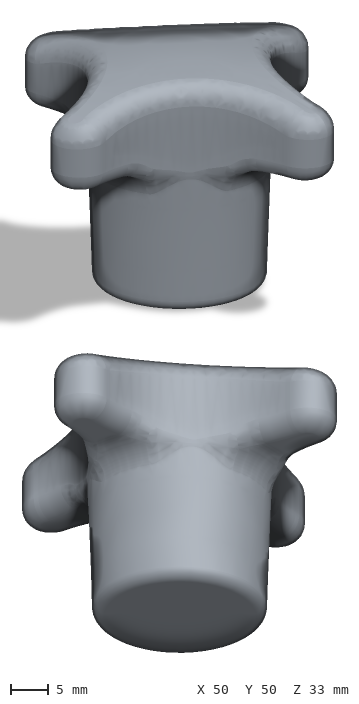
import cadquery as cq
import math

span = 50.0
height = 33.0
half_span = span / 2
arm_count = 4
quarter = math.pi / 2
tolerance = 0.0005

arm_radius = 3.85
tip_center = half_span - arm_radius
scallop_center = 20.4
scallop_radius = scallop_center - arm_radius
scallop_distance = scallop_center * math.sqrt(2)
underside_z = 20.0
dome_radius = 72.45
top_round = 3.0
bottom_round = 2.5

foot_radius = 11.5
draft = math.radians(2.0)
foot_round = 1.5

neck_round = 3.75
embed = 0.01
rise_share = 0.98
corner_steps = 4
overlap = 1.0


def shank_radius(z):
    return foot_radius + z * math.tan(draft)


neck_z = underside_z - neck_round
neck_radius = shank_radius(neck_z) + neck_round / math.cos(draft) - embed
flare_bottom = neck_z - overlap


def on_arm(x, y, arm):
    """Turn a point of the first arm about the axis onto the given arm."""
    for _ in range(arm):
        x, y = -y, x
    return x, y


def extrude_outline(bottom_z, top_z):
    scallop_mid = scallop_center - scallop_radius * math.sqrt(0.5)
    outline = cq.Workplane("XY", origin=(0, 0, bottom_z)).moveTo(tip_center, -arm_radius)
    for arm in range(arm_count):
        outline = (
            outline.threePointArc(on_arm(half_span, 0, arm), on_arm(tip_center, arm_radius, arm))
            .lineTo(*on_arm(scallop_center, arm_radius, arm))
            .threePointArc(
                on_arm(scallop_mid, scallop_mid, arm),
                on_arm(arm_radius, scallop_center, arm),
            )
        )
        if arm < arm_count - 1:
            outline = outline.lineTo(*on_arm(arm_radius, tip_center, arm))
    return outline.close().extrude(top_z - bottom_z)


def make_head():
    dome = cq.Workplane("XY", origin=(0, 0, height - dome_radius)).sphere(dome_radius)
    head = extrude_outline(underside_z, height).intersect(dome)
    return head.faces(">Z").edges().fillet(top_round)


def make_shank():
    top_z = underside_z + overlap
    shank = (
        cq.Workplane("XZ")
        .polyline([(0, 0), (foot_radius, 0), (shank_radius(top_z), top_z), (0, top_z)])
        .close()
        .revolve(360, (0, 0, 0), (0, 1, 0))
    )
    return shank.faces("<Z").edges().fillet(foot_round)


def rim_start_angle():
    """Angle from the middle of an arm at which the neck centre line meets the scallop rim."""
    cosine = (neck_radius**2 + scallop_distance**2 - scallop_radius**2) / (
        2 * neck_radius * scallop_distance
    )
    return quarter / 2 - math.acos(cosine)


def neck_rise(angle):
    """How much the neck rounding moves up so that it ends at the scallop rim."""
    off_diagonal = angle - quarter / 2
    across = scallop_distance * math.sin(off_diagonal)
    along = scallop_distance * math.cos(off_diagonal)
    rim_radius = along - math.sqrt(scallop_radius**2 - across**2)
    gap = max(neck_radius - rim_radius, 0)
    return rise_share * (neck_round - math.sqrt(neck_round**2 - gap**2))


def neck_space(angle, rise):
    """Open space below the flare, drawn in the radial plane at the given angle."""
    center_r = neck_radius + rise * math.tan(draft)
    center_z = neck_z + rise
    arc_mid = neck_round * math.sqrt(0.5)
    outer_r = center_r + 2 * overlap
    plane = cq.Plane(
        origin=(0, 0, 0),
        xDir=(math.cos(angle), math.sin(angle), 0),
        normal=(math.sin(angle), -math.cos(angle), 0),
    )
    return (
        cq.Workplane(plane)
        .moveTo(center_r - neck_round * math.cos(draft), center_z + neck_round * math.sin(draft))
        .threePointArc((center_r - arc_mid, center_z + arc_mid), (center_r, center_z + neck_round))
        .lineTo(outer_r, center_z + neck_round)
        .lineTo(outer_r, flare_bottom)
        .lineTo(shank_radius(flare_bottom) - overlap, flare_bottom)
        .close()
    )


def make_flare():
    start = rim_start_angle()
    step = (quarter - 2 * start) / corner_steps
    angles = [start + i * step for i in range(corner_steps + 1)]
    sections = [neck_space(angle, neck_rise(angle)).val() for angle in angles]
    below_scallop = cq.Workplane(obj=cq.Solid.makeLoft(sections))
    below_arm = neck_space(-start, 0).revolve(math.degrees(2 * start), (0, 0, 0), (0, 1, 0))

    flare = extrude_outline(flare_bottom, underside_z + overlap)
    flare = flare.intersect(cq.Workplane("XY").circle(neck_radius + overlap).extrude(height))
    for arm in range(arm_count):
        for space in (below_arm, below_scallop):
            flare = flare.cut(space.rotate((0, 0, 0), (0, 0, 1), arm * math.degrees(quarter)))
    return flare


def round_lower_rim(body):
    """Round the edges where the upright walls of the head meet its underside."""
    walls = [
        face
        for face in body.faces("%PLANE or %CYLINDER").vals()
        if abs(face.normalAt().z) < tolerance
    ]
    rim = [
        edge
        for wall in walls
        for edge in wall.Edges()
        if neck_z < edge.Center().z < underside_z + tolerance
    ]
    return body.newObject(rim).fillet(bottom_round)


result = round_lower_rim(make_head().union(make_flare()).union(make_shank())).solids()